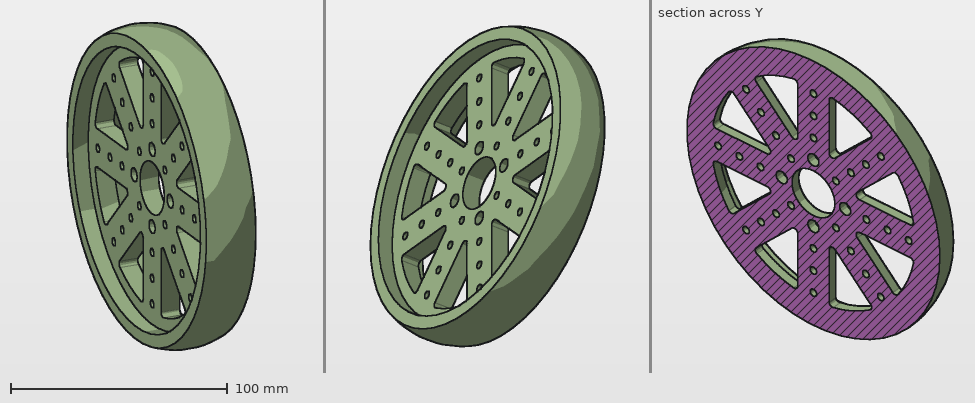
import cadquery as cq
import math

outer_diameter = 152.2
wheel_width = 25.4

rim_edge_radius = 73.5
rim_bore_radius = 67.3

web_thickness = 9.6
recess_depth = (wheel_width - web_thickness) / 2

spoke_count = 8
spoke_width = 19.0
window_outer_radius = 61.0
window_corner_radius = 2.0

bore_diameter = wheel_width
first_hole_radius = 19.0
hole_pitch = wheel_width / 2
holes_per_spoke = 4
small_hole_diameter = 3.7
large_hole_diameter = 6.4

outer_radius = outer_diameter / 2
half_width = wheel_width / 2
spoke_angle = 360 / spoke_count


def through_cylinder(radius, x, z):
    """Cylinder along Y that spans the whole wheel width."""
    return (
        cq.Workplane("XZ", origin=(x, half_width, z))
        .circle(radius)
        .extrude(wheel_width)
    )


def make_blank():
    """Solid wheel with a crowned tread, revolved about the Y axis."""
    return (
        cq.Workplane("XY")
        .moveTo(0, -half_width)
        .lineTo(rim_edge_radius, -half_width)
        .threePointArc((outer_radius, 0), (rim_edge_radius, half_width))
        .lineTo(0, half_width)
        .close()
        .revolve(360, (0, 0, 0), (0, 1, 0))
    )


def make_recess(start_y):
    """Disc that sinks one side of the web below the rim, running from start_y toward -Y."""
    return (
        cq.Workplane("XZ", origin=(0, start_y, 0))
        .circle(rim_bore_radius)
        .extrude(recess_depth)
    )


def make_window():
    """Rounded wedge between the +X spoke and the next one."""
    half_spoke = spoke_width / 2
    half_angle = math.radians(spoke_angle / 2)
    apex_distance = half_spoke / math.sin(half_angle)
    corner_angle = math.asin(half_spoke / window_outer_radius)

    def polar(radius, angle):
        return (radius * math.cos(angle), radius * math.sin(angle))

    return (
        cq.Workplane("XZ", origin=(0, half_width, 0))
        .moveTo(*polar(apex_distance, half_angle))
        .lineTo(*polar(window_outer_radius, corner_angle))
        .threePointArc(
            polar(window_outer_radius, half_angle),
            polar(window_outer_radius, 2 * half_angle - corner_angle),
        )
        .close()
        .extrude(wheel_width)
        .edges("|Y")
        .fillet(window_corner_radius)
    )


def cut_windows(wheel):
    """Identical windows, one after each spoke."""
    window = make_window()
    for spoke in range(spoke_count):
        wheel = wheel.cut(window.rotate((0, 0, 0), (0, 1, 0), spoke * spoke_angle))
    return wheel


def cut_spoke_holes(wheel):
    """Row of holes on every spoke; alternate spokes start with a large hole."""
    for spoke in range(spoke_count):
        angle = math.radians(spoke * spoke_angle)
        for position in range(holes_per_spoke):
            is_large = position == 0 and spoke % 2 == 0
            diameter = large_hole_diameter if is_large else small_hole_diameter
            distance = first_hole_radius + position * hole_pitch
            x = distance * math.cos(angle)
            z = distance * math.sin(angle)
            wheel = wheel.cut(through_cylinder(diameter / 2, x, z))
    return wheel


result = make_blank()
result = result.cut(make_recess(-web_thickness / 2))
result = result.cut(make_recess(half_width))
result = result.cut(through_cylinder(bore_diameter / 2, 0, 0))
result = cut_windows(result)
result = cut_spoke_holes(result)